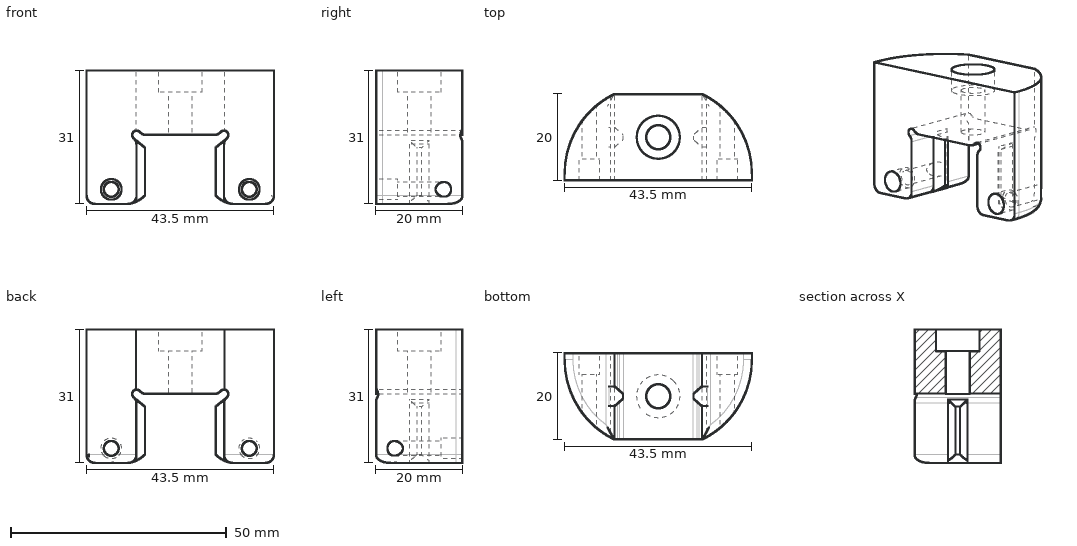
import cadquery as cq
import math

SIDES = (-1, 1)

width = 43.5
depth = 20.0
height = 31.0
straight_side = 1.52
back_half_width = 10.25
edge_radius = 1.95

channel_half_width = 10.15
channel_height = 16.0
relief_radius = 1.0
relief_angle = 40.0
relief_length = 3.9
relief_mouth_radius = 1.52
relief_wall_radius = 1.75

rib_height = 1.95
rib_tip_width = 1.15
rib_flank_depth = 1.75
rib_root_width = rib_tip_width + 2 * rib_flank_depth
rib_foot_drop = 0.55

mid_y = depth / 2
top_hole_diameter = 5.53
top_bore_diameter = 10.0
top_bore_depth = 5.0
foot_hole_x = 16.0
foot_hole_z = 3.4
foot_hole_diameter = 3.4
foot_bore_diameter = 4.8
foot_bore_depth = 5.0


def make_body():
    inset = width / 2 - back_half_width
    rise = depth - straight_side
    radius = (inset**2 + rise**2) / (2 * inset)
    half_sweep = math.asin(rise / radius) / 2
    mid_x = width / 2 - radius + radius * math.cos(half_sweep)
    arc_y = straight_side + radius * math.sin(half_sweep)
    body = (
        cq.Workplane("XY")
        .moveTo(-width / 2, 0)
        .lineTo(width / 2, 0)
        .lineTo(width / 2, straight_side)
        .threePointArc((mid_x, arc_y), (back_half_width, depth))
        .lineTo(-back_half_width, depth)
        .threePointArc((-mid_x, arc_y), (-width / 2, straight_side))
        .close()
        .extrude(height)
    )
    return body.faces("<Z").edges("not <Y").fillet(edge_radius)


def make_relief(side):
    """Round-ended slot sloping from a channel corner into the channel."""
    angle = math.radians(relief_angle)
    run = relief_length * math.cos(angle)
    drop = relief_length * math.sin(angle)
    return (
        cq.Workplane("XZ")
        .center(side * (channel_half_width - run / 2), channel_height - drop / 2)
        .transformed(rotate=(0, 0, side * relief_angle))
        .slot2D(relief_length + 2 * relief_radius, 2 * relief_radius)
        .extrude(-depth)
    )


def round_lengthwise_edge(solid, x, z, radius):
    """Fillet the front-to-back edge passing through (x, z)."""
    reach = 0.05
    near_edge = cq.selectors.BoxSelector(
        (x - reach, 0, z - reach), (x + reach, depth, z + reach)
    )
    return solid.edges(near_edge).fillet(radius)


def make_channel():
    channel = (
        cq.Workplane("XZ")
        .rect(2 * channel_half_width, 2 * channel_height)
        .extrude(-depth)
    )
    angle = math.radians(relief_angle)
    roof_x = channel_half_width - relief_radius / math.sin(angle)
    wall_z = channel_height - relief_radius / math.cos(angle)
    for side in SIDES:
        channel = channel.union(make_relief(side))
    for side in SIDES:
        channel = round_lengthwise_edge(channel, side * roof_x, channel_height, relief_mouth_radius)
        wall_x = side * channel_half_width
        channel = round_lengthwise_edge(channel, wall_x, wall_z, relief_wall_radius)
    return channel


def make_foot_rounding(side):
    """Waste between the channel wall, the foot and the inner foot radius."""
    wall = side * channel_half_width
    arc_offset = edge_radius * (1 - math.sqrt(0.5))
    return (
        cq.Workplane("XZ")
        .moveTo(wall, 0)
        .lineTo(wall, edge_radius)
        .threePointArc((wall + side * arc_offset, arc_offset), (wall + side * edge_radius, 0))
        .close()
        .extrude(-depth)
    )


def make_rib(side):
    root = side * (channel_half_width + edge_radius)
    wall = side * channel_half_width
    tip = side * (channel_half_width - rib_height)
    rib = (
        cq.Workplane("XY")
        .polyline([
            (root, mid_y - rib_root_width / 2),
            (wall, mid_y - rib_root_width / 2),
            (tip, mid_y - rib_tip_width / 2),
            (tip, mid_y + rib_tip_width / 2),
            (wall, mid_y + rib_root_width / 2),
            (root, mid_y + rib_root_width / 2),
        ])
        .close()
        .extrude(channel_height)
    )
    profile = (
        cq.Workplane("XZ")
        .moveTo(root, 0)
        .threePointArc((wall, rib_foot_drop), (tip, edge_radius))
        .lineTo(tip, channel_height - rib_height * math.tan(math.radians(relief_angle)))
        .lineTo(wall, channel_height)
        .lineTo(wall, channel_height / 2)
        .lineTo(root, channel_height / 2)
        .close()
        .extrude(-depth)
    )
    return rib.intersect(profile).cut(make_relief(side))


result = make_body().cut(make_channel())
for side in SIDES:
    result = result.cut(make_foot_rounding(side)).union(make_rib(side))

result = (
    result.faces(">Z").workplane(origin=(0, mid_y, height))
    .cboreHole(top_hole_diameter, top_bore_diameter, top_bore_depth)
)

result = (
    result.faces("<Y").workplane(origin=(0, 0, 0))
    .pushPoints([(-foot_hole_x, foot_hole_z), (foot_hole_x, foot_hole_z)])
    .cboreHole(foot_hole_diameter, foot_bore_diameter, foot_bore_depth)
)